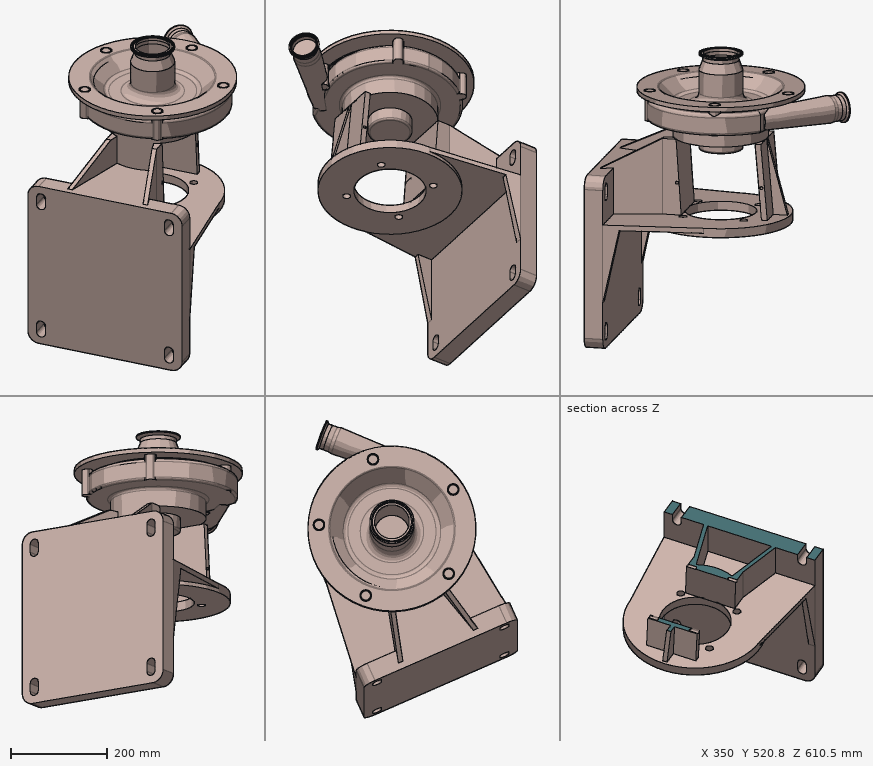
import cadquery as cq
import math


PLATE_WIDTH = 350.0
PLATE_HEIGHT = 370.0
PLATE_THICKNESS = 40.0
PLATE_FRONT_Y = -250.0
PLATE_BACK_Y = PLATE_FRONT_Y + PLATE_THICKNESS
PLATE_CORNER_RADIUS = 25.0
SLOT_PITCH_X = 290.0
SLOT_PITCH_Z = 300.0
SLOT_WIDTH = 20.0
SLOT_LENGTH = 37.0

MOTOR_FLANGE_RADIUS = 150.0
MOTOR_FLANGE_BOTTOM = 251.5
ARM_BOTTOM = 260.0
MOTOR_FLANGE_TOP = 271.0
MOTOR_BORE_DIAMETER = 150.0
MOTOR_BOLT_CIRCLE_RADIUS = 92.0
MOTOR_BOLT_HOLE = 16.0
MOTOR_BOLT_COUNT = 4
MOTOR_BOLT_START_ANGLE = 45.0
LOWER_WEB_FRONT_Y = -176.0
LOWER_WEB_FOOT_Z = 104.0
LOWER_WEB_INNER_X = 160.0

LANTERN_RADIUS = 99.5
LEG_TOP = 433.5
LEG_HALF_WIDTH = 57.0
FRONT_LEG_FOOT_Y = -71.0
FRONT_LEG_HEAD_Y = -82.0
REAR_LEG_FOOT_Y = 101.0
REAR_LEG_HEAD_Y = 87.0
REAR_LEG_THICKNESS = 12.5
REAR_GUSSET_FOOT_Y = 143.5
REAR_GUSSET_THICKNESS = 10.0
RIB_THICKNESS = 10.0
RIB_BEND_Y = -111.0
RIB_TIP_Y = -236.0
RIB_FLARE_ANGLE = 15.0
SHELF_THICKNESS = 10.0
GUARD_HOLE_DIAMETER = 6.0
GUARD_HOLE_DEPTH = 20.0
GUARD_HOLE_Z = 340.0
GUARD_HOLES_Y = (-80.0, 101.0)

SHAFT_HUB_RADIUS = 46.0
SHAFT_HUB_BOTTOM = 404.0
SHAFT_HUB_FILLET = 4.0

VOLUTE_CENTER = (7.5, 2.5)
VOLUTE_RADIUS = 157.5
TONGUE_RADIUS = 142.5
TONGUE_END_ANGLE = 75.0
VOLUTE_END_ANGLE = 45.0
VOLUTE_BOTTOM = 474.5
VOLUTE_TOP = 521.0
VOLUTE_TOP_FILLET = 8.0
VOLUTE_BOTTOM_FILLET = 5.0
NECK_TOP = 524.5
NECK_RADIUS = 142.0
NECK_GROOVE_RADIUS = 131.0
HUB_FILLET = 6.0

COVER_RADIUS = 175.0
COVER_TOP = 538.5
COVER_THICKNESS = 9.5
COVER_BOTTOM = COVER_TOP - COVER_THICKNESS
DISH_DEPTH = 33.0
DISH_FLOOR = COVER_TOP - DISH_DEPTH
DISH_RIM_RADIUS = 130.5
DISH_FLOOR_RADIUS = DISH_RIM_RADIUS - DISH_DEPTH
DISH_WALL_ANGLE = 45.0
DISH_RIM_FILLET = 3.5
DISH_FLOOR_FILLET = 14.0

STUD_COUNT = 5
STUD_CIRCLE_RADIUS = 152.0
STUD_START_ANGLE = 9.0
STUD_DIAMETER = 20.0
STUD_GROOVE_DIAMETER = 24.0
STUD_GROOVE_DEPTH = 3.0
STUD_BLEND_RADIUS = 2.5
PROUD_STUDS = (2, 3, 4)

INLET_TOP = 610.5
INLET_RADIUS = 46.0
INLET_BORE_RADIUS = 36.0
INLET_NECK_RADIUS = 38.0
INLET_RIM_THICKNESS = 2.8
INLET_RIM_BACK_DEPTH = 7.0
INLET_NECK_DEPTH = 15.0
INLET_CONE_DEPTH = 36.0
INLET_BASE_FILLET = 20.0

OUTLET_ANGLE = 135.0
OUTLET_OFFSET = 140.0
OUTLET_REACH = 211.0
OUTLET_Z = 496.0
OUTLET_RADIUS = 32.0
OUTLET_BORE_RADIUS = 26.0
OUTLET_BORE_DEPTH = 15.0
OUTLET_RIM_THICKNESS = 2.8
OUTLET_RIM_BACK_DEPTH = 6.5
OUTLET_NECK_RADIUS = 27.5
OUTLET_NECK_DEPTH = 26.0
OUTLET_PIPE_DEPTH = 34.0
OUTLET_PIPE_RADIUS = 29.2
OUTLET_PIPE_ROOT_RADIUS = 22.5
OUTLET_PIPE_ROOT_REACH = 10.0

GROOVE_WIDTH = 2.5
GROOVE_DEPTH = 1.5
GROOVE_EDGE_MARGIN = 3.0


def disc(radius, bottom, top, center=(0, 0)):
    """Upright cylinder between two heights."""
    return cq.Workplane("XY", origin=(*center, bottom)).circle(radius).extrude(top - bottom)


def side_profile(points, x_min, x_max):
    """Prism along X with an outline given as (y, z) points."""
    return cq.Workplane("YZ", origin=(x_min, 0, 0)).polyline(points).close().extrude(x_max - x_min)


def mirrored(body):
    """A body joined with its mirror image across the YZ plane."""
    return body.union(body.mirror("YZ"))


def polar_point(radius, angle, center=(0, 0)):
    """Point at a radius and an angle in degrees about a centre."""
    turn = math.radians(angle)
    return (center[0] + radius * math.cos(turn), center[1] + radius * math.sin(turn))


def mounting_plate():
    plate = (
        cq.Workplane("XZ", origin=(0, PLATE_BACK_Y, PLATE_HEIGHT / 2))
        .rect(PLATE_WIDTH, PLATE_HEIGHT)
        .extrude(PLATE_THICKNESS)
        .edges("|Y")
        .fillet(PLATE_CORNER_RADIUS)
    )
    slots = (
        cq.Workplane("XZ", origin=(0, PLATE_BACK_Y, PLATE_HEIGHT / 2))
        .rect(SLOT_PITCH_X, SLOT_PITCH_Z, forConstruction=True)
        .vertices()
        .slot2D(SLOT_LENGTH, SLOT_WIDTH, 90)
        .extrude(PLATE_THICKNESS)
    )
    return plate.cut(slots)


def arm_outline(bottom, top):
    """Tapered arm from the motor flange to the mounting plate."""
    points = [
        (-MOTOR_FLANGE_RADIUS, 0),
        (MOTOR_FLANGE_RADIUS, 0),
        (PLATE_WIDTH / 2, PLATE_BACK_Y),
        (-PLATE_WIDTH / 2, PLATE_BACK_Y),
    ]
    return cq.Workplane("XY", origin=(0, 0, bottom)).polyline(points).close().extrude(top - bottom)


def motor_flange():
    flange = disc(MOTOR_FLANGE_RADIUS, MOTOR_FLANGE_BOTTOM, MOTOR_FLANGE_TOP)
    flange = flange.union(arm_outline(ARM_BOTTOM, MOTOR_FLANGE_TOP))
    flange = flange.cut(disc(MOTOR_BORE_DIAMETER / 2, MOTOR_FLANGE_BOTTOM, MOTOR_FLANGE_TOP))
    bolt_holes = (
        cq.Workplane("XY", origin=(0, 0, MOTOR_FLANGE_BOTTOM))
        .polarArray(MOTOR_BOLT_CIRCLE_RADIUS, MOTOR_BOLT_START_ANGLE, 360, MOTOR_BOLT_COUNT)
        .circle(MOTOR_BOLT_HOLE / 2)
        .extrude(MOTOR_FLANGE_TOP - MOTOR_FLANGE_BOTTOM)
    )
    return flange.cut(bolt_holes)


def lower_webs():
    """Triangular webs under the arm, flush with its tapered sides."""
    triangle = [
        (LOWER_WEB_FRONT_Y, ARM_BOTTOM),
        (PLATE_BACK_Y, ARM_BOTTOM),
        (PLATE_BACK_Y, LOWER_WEB_FOOT_Z),
    ]
    web = side_profile(triangle, LOWER_WEB_INNER_X, PLATE_WIDTH / 2)
    return mirrored(web.intersect(arm_outline(LOWER_WEB_FOOT_Z, ARM_BOTTOM)))


def rib_inner_x(y):
    """Half distance between the inner faces of the flared ribs."""
    flare = math.radians(RIB_FLARE_ANGLE)
    return LEG_HALF_WIDTH - RIB_THICKNESS / math.cos(flare) + (RIB_BEND_Y - y) * math.tan(flare)


def space_between_ribs(front_y, back_y, bottom, top):
    """Wedge that fills the gap between the ribs."""
    front_x = rib_inner_x(front_y)
    back_x = rib_inner_x(back_y)
    plan = [(-front_x, front_y), (front_x, front_y), (back_x, back_y), (-back_x, back_y)]
    return cq.Workplane("XY", origin=(0, 0, bottom)).polyline(plan).close().extrude(top - bottom)


def front_leg():
    """Leaning inner face, round outer wall between two straight cheeks."""
    outline = [
        (FRONT_LEG_FOOT_Y, MOTOR_FLANGE_TOP),
        (FRONT_LEG_HEAD_Y, LEG_TOP),
        (RIB_BEND_Y, LEG_TOP),
        (RIB_BEND_Y, MOTOR_FLANGE_TOP),
    ]
    leg = side_profile(outline, -LEG_HALF_WIDTH, LEG_HALF_WIDTH)
    pocket = space_between_ribs(RIB_BEND_Y, FRONT_LEG_HEAD_Y, MOTOR_FLANGE_TOP, LEG_TOP)
    pocket = pocket.cut(disc(LANTERN_RADIUS, MOTOR_FLANGE_TOP, LEG_TOP))
    return leg.cut(pocket)


def front_ribs():
    """Flared ribs that run from the cheeks of the front leg onto the mounting plate."""
    flare = math.radians(RIB_FLARE_ANGLE)
    tip_outer_x = LEG_HALF_WIDTH + (RIB_BEND_Y - RIB_TIP_Y) * math.tan(flare)
    plan = [
        (LEG_HALF_WIDTH, RIB_BEND_Y),
        (tip_outer_x, RIB_TIP_Y),
        (rib_inner_x(RIB_TIP_Y), RIB_TIP_Y),
        (rib_inner_x(RIB_BEND_Y), RIB_BEND_Y),
    ]
    rib = (
        cq.Workplane("XY", origin=(0, 0, MOTOR_FLANGE_TOP))
        .polyline(plan)
        .close()
        .extrude(LEG_TOP - MOTOR_FLANGE_TOP)
    )
    slope = [
        (RIB_BEND_Y, MOTOR_FLANGE_TOP),
        (RIB_BEND_Y, LEG_TOP),
        (RIB_TIP_Y, PLATE_HEIGHT),
        (RIB_TIP_Y, MOTOR_FLANGE_TOP),
    ]
    return mirrored(rib.intersect(side_profile(slope, 0, PLATE_WIDTH / 2)))


def shelf():
    """Plate between the ribs, level with the top of the mounting plate."""
    bottom = PLATE_HEIGHT - SHELF_THICKNESS
    return space_between_ribs(PLATE_BACK_Y, FRONT_LEG_HEAD_Y, bottom, PLATE_HEIGHT)


def rear_leg():
    """Leaning plate backed by a triangular gusset."""
    plate = [
        (REAR_LEG_FOOT_Y, MOTOR_FLANGE_TOP),
        (REAR_LEG_HEAD_Y, LEG_TOP),
        (REAR_LEG_HEAD_Y + REAR_LEG_THICKNESS, LEG_TOP),
        (REAR_LEG_FOOT_Y + REAR_LEG_THICKNESS, MOTOR_FLANGE_TOP),
    ]
    gusset = [
        (REAR_LEG_FOOT_Y, MOTOR_FLANGE_TOP),
        (REAR_LEG_HEAD_Y, LEG_TOP),
        (LANTERN_RADIUS, LEG_TOP),
        (REAR_GUSSET_FOOT_Y, MOTOR_FLANGE_TOP),
    ]
    leg = side_profile(plate, -LEG_HALF_WIDTH, LEG_HALF_WIDTH)
    return leg.union(side_profile(gusset, -REAR_GUSSET_THICKNESS / 2, REAR_GUSSET_THICKNESS / 2))


def guard_holes():
    """Blind holes in both side edges of each leg."""
    holes = cq.Workplane("YZ", origin=(LEG_HALF_WIDTH - GUARD_HOLE_DEPTH, 0, 0))
    holes = holes.pushPoints([(y, GUARD_HOLE_Z) for y in GUARD_HOLES_Y])
    return mirrored(holes.circle(GUARD_HOLE_DIAMETER / 2).extrude(GUARD_HOLE_DEPTH))


def bracket():
    body = mounting_plate()
    for piece in (motor_flange(), lower_webs(), front_leg(), front_ribs(), shelf(), rear_leg()):
        body = body.union(piece)
    return body.cut(guard_holes())


def hub():
    """Lantern head that flares into the volute, with the shaft hub below it."""
    flare_radius = LANTERN_RADIUS + HUB_FILLET
    bend = HUB_FILLET * (1 - math.sqrt(0.5))
    head = (
        cq.Workplane("XZ")
        .moveTo(0, LEG_TOP)
        .lineTo(LANTERN_RADIUS, LEG_TOP)
        .lineTo(LANTERN_RADIUS, VOLUTE_BOTTOM - HUB_FILLET)
        .threePointArc((LANTERN_RADIUS + bend, VOLUTE_BOTTOM - bend), (flare_radius, VOLUTE_BOTTOM))
        .lineTo(0, VOLUTE_BOTTOM)
        .close()
        .revolve(360, (0, 0, 0), (0, 1, 0))
    )
    shaft_hub = disc(SHAFT_HUB_RADIUS, SHAFT_HUB_BOTTOM, LEG_TOP)
    shaft_hub = shaft_hub.faces("<Z").edges().fillet(SHAFT_HUB_FILLET)
    return head.union(shaft_hub)


def volute_prism(bottom, top):
    """Plain prism of the volute plan: two rounds that meet smoothly on the -X side."""
    start = polar_point(VOLUTE_RADIUS, 180, VOLUTE_CENTER)
    tongue_center = (start[0] + TONGUE_RADIUS, start[1])
    middle_angle = (180 + 360 + VOLUTE_END_ANGLE) / 2
    tongue_middle_angle = (180 + TONGUE_END_ANGLE) / 2
    return (
        cq.Workplane("XY", origin=(0, 0, bottom))
        .moveTo(*start)
        .threePointArc(
            polar_point(VOLUTE_RADIUS, middle_angle, VOLUTE_CENTER),
            polar_point(VOLUTE_RADIUS, VOLUTE_END_ANGLE, VOLUTE_CENTER),
        )
        .lineTo(*polar_point(TONGUE_RADIUS, TONGUE_END_ANGLE, tongue_center))
        .threePointArc(polar_point(TONGUE_RADIUS, tongue_middle_angle, tongue_center), start)
        .close()
        .extrude(top - bottom)
    )


def stud_discs(diameter, bottom, top):
    """Cylinders at every stud position."""
    return (
        cq.Workplane("XY", origin=(0, 0, bottom))
        .polarArray(STUD_CIRCLE_RADIUS, STUD_START_ANGLE, 360, STUD_COUNT)
        .circle(diameter / 2)
        .extrude(top - bottom)
    )


def stud_bosses():
    """Bosses that carry the studs, blended into the volute wall where they stand out of it."""
    body = volute_prism(VOLUTE_BOTTOM, COVER_BOTTOM)
    body = body.union(stud_discs(STUD_DIAMETER, VOLUTE_BOTTOM, COVER_BOTTOM))
    reach = STUD_DIAMETER / 2 + STUD_BLEND_RADIUS
    for index in PROUD_STUDS:
        x, y = polar_point(STUD_CIRCLE_RADIUS, STUD_START_ANGLE + index * 360 / STUD_COUNT)
        near_stud = cq.selectors.BoxSelector(
            (x - reach, y - reach, VOLUTE_BOTTOM),
            (x + reach, y + reach, COVER_BOTTOM),
        )
        body = body.edges(near_stud).edges("|Z").fillet(STUD_BLEND_RADIUS)
    return body.intersect(stud_discs(2 * reach, VOLUTE_BOTTOM, COVER_BOTTOM))


def volute():
    body = volute_prism(VOLUTE_BOTTOM, VOLUTE_TOP)
    body = body.faces(">Z").edges().fillet(VOLUTE_TOP_FILLET)
    body = body.faces("<Z").edges().fillet(VOLUTE_BOTTOM_FILLET)
    body = body.union(disc(NECK_RADIUS, VOLUTE_TOP, NECK_TOP, VOLUTE_CENTER))
    body = body.union(disc(NECK_GROOVE_RADIUS, NECK_TOP, COVER_BOTTOM, VOLUTE_CENTER))
    return body.union(stud_bosses())


def dish():
    """Hollow of the cover, with rounded rim and floor corners."""
    half_turn = math.tan(math.radians(DISH_WALL_ANGLE / 2))
    floor_center = (DISH_FLOOR_RADIUS - DISH_FLOOR_FILLET * half_turn, DISH_FLOOR + DISH_FLOOR_FILLET)
    rim_center = (DISH_RIM_RADIUS + DISH_RIM_FILLET * half_turn, COVER_TOP - DISH_RIM_FILLET)
    wall_normal = 90 - DISH_WALL_ANGLE
    arc_middle = (90 + wall_normal) / 2
    return (
        cq.Workplane("XZ")
        .moveTo(0, DISH_FLOOR)
        .lineTo(floor_center[0], DISH_FLOOR)
        .threePointArc(
            polar_point(DISH_FLOOR_FILLET, -arc_middle, floor_center),
            polar_point(DISH_FLOOR_FILLET, -wall_normal, floor_center),
        )
        .lineTo(*polar_point(DISH_RIM_FILLET, 180 - wall_normal, rim_center))
        .threePointArc(
            polar_point(DISH_RIM_FILLET, 180 - arc_middle, rim_center),
            (rim_center[0], COVER_TOP),
        )
        .lineTo(0, COVER_TOP)
        .close()
        .revolve(360, (0, 0, 0), (0, 1, 0))
    )


def clamp_groove(outer_radius, face):
    """Ring to cut into a clamp face that looks along +Z."""
    groove_outer = outer_radius - GROOVE_EDGE_MARGIN
    ring = cq.Workplane("XY", origin=(0, 0, face - GROOVE_DEPTH))
    return ring.circle(groove_outer).circle(groove_outer - GROOVE_WIDTH).extrude(GROOVE_DEPTH)


def inlet():
    """Inlet pipe that rises from the dish floor to its clamp rim."""
    bend = INLET_BASE_FILLET * (1 - math.sqrt(0.5))
    pipe = (
        cq.Workplane("XZ")
        .moveTo(0, DISH_FLOOR)
        .lineTo(INLET_RADIUS + INLET_BASE_FILLET, DISH_FLOOR)
        .threePointArc(
            (INLET_RADIUS + bend, DISH_FLOOR + bend),
            (INLET_RADIUS, DISH_FLOOR + INLET_BASE_FILLET),
        )
        .lineTo(INLET_RADIUS, INLET_TOP - INLET_CONE_DEPTH)
        .lineTo(INLET_NECK_RADIUS, INLET_TOP - INLET_NECK_DEPTH)
        .lineTo(INLET_NECK_RADIUS, INLET_TOP - INLET_RIM_BACK_DEPTH)
        .lineTo(INLET_RADIUS, INLET_TOP - INLET_RIM_THICKNESS)
        .lineTo(INLET_RADIUS, INLET_TOP)
        .lineTo(0, INLET_TOP)
        .close()
        .revolve(360, (0, 0, 0), (0, 1, 0))
    )
    return pipe.cut(clamp_groove(INLET_RADIUS, INLET_TOP))


def outlet():
    """Outlet pipe, revolved upright and then laid down onto its axis."""
    pipe = (
        cq.Workplane("XZ")
        .moveTo(0, OUTLET_PIPE_ROOT_REACH)
        .lineTo(OUTLET_PIPE_ROOT_RADIUS, OUTLET_PIPE_ROOT_REACH)
        .lineTo(OUTLET_PIPE_RADIUS, OUTLET_REACH - OUTLET_PIPE_DEPTH)
        .lineTo(OUTLET_NECK_RADIUS, OUTLET_REACH - OUTLET_NECK_DEPTH)
        .lineTo(OUTLET_NECK_RADIUS, OUTLET_REACH - OUTLET_RIM_BACK_DEPTH)
        .lineTo(OUTLET_RADIUS, OUTLET_REACH - OUTLET_RIM_THICKNESS)
        .lineTo(OUTLET_RADIUS, OUTLET_REACH)
        .lineTo(0, OUTLET_REACH)
        .close()
        .revolve(360, (0, 0, 0), (0, 1, 0))
        .cut(disc(OUTLET_BORE_RADIUS, OUTLET_REACH - OUTLET_BORE_DEPTH, OUTLET_REACH))
        .cut(clamp_groove(OUTLET_RADIUS, OUTLET_REACH))
    )
    return (
        pipe.rotate((0, 0, 0), (0, 1, 0), 90)
        .translate((0, -OUTLET_OFFSET, OUTLET_Z))
        .rotate((0, 0, 0), (0, 0, 1), OUTLET_ANGLE)
    )


def pump():
    body = hub().union(volute())
    body = body.union(disc(COVER_RADIUS, COVER_BOTTOM, COVER_TOP))
    body = body.cut(stud_discs(STUD_GROOVE_DIAMETER, COVER_TOP - STUD_GROOVE_DEPTH, COVER_TOP))
    body = body.union(stud_discs(STUD_DIAMETER, COVER_BOTTOM, COVER_TOP))
    body = body.cut(dish()).union(inlet()).union(outlet())
    return body.cut(disc(INLET_BORE_RADIUS, OUTLET_Z, INLET_TOP))


result = bracket().union(pump())